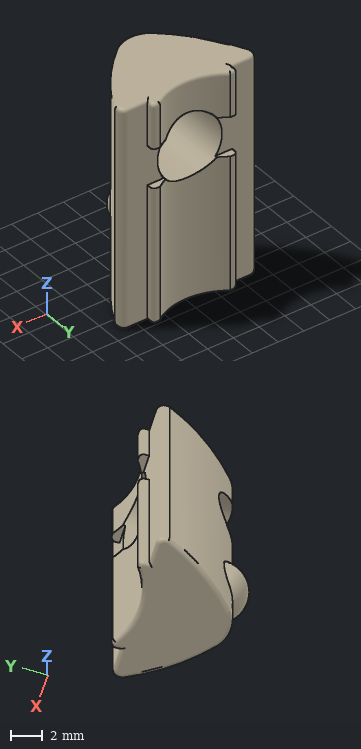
import cadquery as cq
import math

length = 17.0
half_width = 5.25
nose_depth = 6.3

corner_radius = 0.51
flank_top_y = -0.75
flank_bulge = 0.35

nose_half_width = 1.33
nose_rise = 0.45

ridge_height = 0.6
ridge_half_span = 3.28
trough_half_width = 2.72
trough_floor_y = -0.29

edge_round = 0.3

hole_diameter = 5.0
hole_z = 12.0
slot_height = 3.03

ball_radius = 2.0
ball_z = 4.5
ball_projection = 1.1
ball_y = -nose_depth - ball_projection + ball_radius


def make_profile():
    """Closed outline of the body, symmetric about X = 0."""
    flank_end_y = -nose_depth + nose_rise
    flank_dx = half_width - nose_half_width
    flank_dy = flank_top_y - flank_end_y
    flank_chord = math.hypot(flank_dx, flank_dy)
    flank_mid_x = (half_width + nose_half_width) / 2 + flank_bulge * flank_dy / flank_chord
    flank_mid_y = (flank_top_y + flank_end_y) / 2 - flank_bulge * flank_dx / flank_chord
    corner_inset = corner_radius * (1 - math.sqrt(0.5))
    corner_mid_x = half_width - corner_inset
    return (
        cq.Workplane("XY")
        .moveTo(-trough_half_width, ridge_height)
        .threePointArc((0, trough_floor_y), (trough_half_width, ridge_height))
        .lineTo(ridge_half_span, ridge_height)
        .lineTo(ridge_half_span, 0)
        .lineTo(half_width - corner_radius, 0)
        .threePointArc((corner_mid_x, -corner_inset), (half_width, -corner_radius))
        .lineTo(half_width, flank_top_y)
        .threePointArc((flank_mid_x, flank_mid_y), (nose_half_width, flank_end_y))
        .threePointArc((0, -nose_depth), (-nose_half_width, flank_end_y))
        .threePointArc((-flank_mid_x, flank_mid_y), (-half_width, flank_top_y))
        .lineTo(-half_width, -corner_radius)
        .threePointArc((-corner_mid_x, -corner_inset), (corner_radius - half_width, 0))
        .lineTo(-ridge_half_span, 0)
        .lineTo(-ridge_half_span, ridge_height)
        .close()
    )


def make_cross_hole():
    """Cylinder along Y that spans the whole body."""
    return (
        cq.Workplane("XZ", origin=(0, ridge_height, hole_z))
        .circle(hole_diameter / 2)
        .extrude(nose_depth + ridge_height)
    )


def make_ridge_slot():
    """Block that removes the ridges down to the shoulder, level with the cross hole."""
    return (
        cq.Workplane("XY")
        .box(2 * half_width, ridge_height, slot_height)
        .translate((0, ridge_height / 2, hole_z))
    )


def make_ball():
    return cq.Workplane("XY").sphere(ball_radius).translate((0, ball_y, ball_z))


def make_ball_socket():
    """Round-bottomed bore, open toward -Y, that matches the ball."""
    bore = (
        cq.Workplane("XZ", origin=(0, ball_y, ball_z))
        .circle(ball_radius)
        .extrude(ball_radius)
    )
    return bore.union(make_ball())


def make_body():
    body = make_profile().extrude(length)
    end_edges = body.faces("<Z or >Z").edges()
    ridge_edges = body.faces(">Y").edges("|Z").edges("<X or >X")
    body = end_edges.add(ridge_edges).fillet(edge_round)
    return body.cut(make_cross_hole()).cut(make_ridge_slot()).cut(make_ball_socket())


body = make_body()
ball = make_ball()

result = cq.Compound.makeCompound([body.val(), ball.val()])